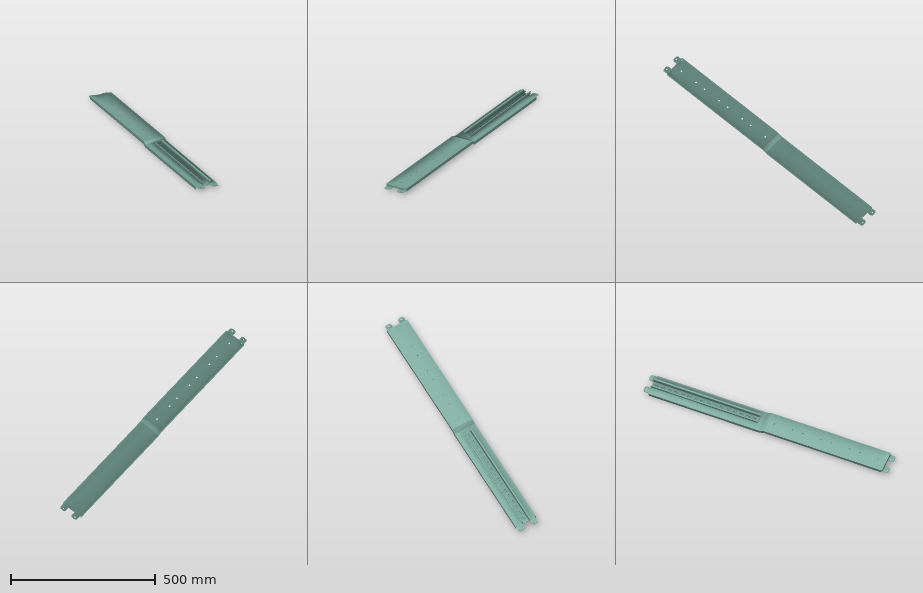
import cadquery as cq

LENGTH = 916.0
WIDTH = 81.5
HEIGHT = 26.0

SHEET = 1.5
CHANNEL_LENGTH = 870.0
JOGGLE_START = 5.5
JOGGLE_END = 21.0
RISE = 7.5
END_WALL_PROUD = 2.0

TAB_WIDTH = 24.0
TAB_OFFSET = 26.0
TAB_CHAMFER = 5.0
TAB_HOLE_DIAMETER = 5.0
TAB_HOLE_INSET = 7.0

PLATE_HOLE_DIAMETER = 6.0
FIRST_HOLE_X = -405.0
HOLE_PAIR_PITCH = 106.0
HOLE_PAIR_GAP = 67.0
HOLE_PAIR_COUNT = 4
CORNER_HOLE_DIAMETER = 3.0
CORNER_HOLE_X = -431.0
CORNER_HOLE_Y = -33.0

RAIL_START = 39.0
RAIL_LENGTH = 398.5
RAIL_PROUD = 7.5
RAIL_WIDTH = 35.0
LIP_OVERHANG = 3.9
RAIL_SHEET = 1.5
RAIL_BEND_RADIUS = 1.65
SLOT_LENGTH = 16.0
SLOT_WIDTH = 6.0
SLOT_ROW_LENGTH = 366.0
SLOT_COUNT = 16

RAIL_HEIGHT = RISE + RAIL_PROUD
FLANGE_DEPTH = HEIGHT - RAIL_HEIGHT
CHANNEL_END = CHANNEL_LENGTH / 2
END_WALL_X = -CHANNEL_END - END_WALL_PROUD
END_WALL_WIDTH = 2 * TAB_OFFSET + TAB_WIDTH


def joggled_strip(top, bottom, width):
    """Strip that follows the joggle; top and bottom are measured from the plate's top face."""
    return (
        cq.Workplane("XZ")
        .moveTo(-CHANNEL_END, RISE + top)
        .lineTo(JOGGLE_START, RISE + top)
        .lineTo(JOGGLE_END, top)
        .lineTo(CHANNEL_END, top)
        .lineTo(CHANNEL_END, bottom)
        .lineTo(JOGGLE_END, bottom)
        .lineTo(JOGGLE_START, RISE + bottom)
        .lineTo(-CHANNEL_END, RISE + bottom)
        .close()
        .extrude(width / 2, both=True)
    )


def make_channel():
    """Joggled plate with a flange down each side."""
    outside = joggled_strip(0, -FLANGE_DEPTH, WIDTH)
    inside = joggled_strip(-SHEET, -FLANGE_DEPTH, WIDTH - 2 * SHEET)
    return outside.cut(inside)


def make_end_wall():
    """Raised plate carried past the flanges and folded down to the top of the tabs."""
    return (
        cq.Workplane("XZ")
        .moveTo(-CHANNEL_END, RISE)
        .lineTo(END_WALL_X, RISE)
        .lineTo(END_WALL_X, 0)
        .lineTo(END_WALL_X + SHEET, 0)
        .lineTo(END_WALL_X + SHEET, RISE - SHEET)
        .lineTo(-CHANNEL_END, RISE - SHEET)
        .close()
        .extrude(END_WALL_WIDTH / 2, both=True)
    )


def make_tab(root_x, direction, center_y):
    """Tab from root_x to the end of the bracket; direction is +1 or -1 along X."""
    tip_x = direction * LENGTH / 2
    hole_x = tip_x - direction * TAB_HOLE_INSET
    tip_corners = "|Z and >X" if direction > 0 else "|Z and <X"
    tab = (
        cq.Workplane("XY", origin=((root_x + tip_x) / 2, center_y, -SHEET))
        .rect(abs(tip_x - root_x), TAB_WIDTH)
        .extrude(SHEET)
        .edges(tip_corners)
        .chamfer(TAB_CHAMFER)
    )
    hole = (
        cq.Workplane("XY", origin=(hole_x, center_y, -SHEET))
        .circle(TAB_HOLE_DIAMETER / 2)
        .extrude(SHEET)
    )
    return tab.cut(hole)


def make_plate_holes():
    row_centers = [
        (FIRST_HOLE_X + pair * HOLE_PAIR_PITCH + step, 0)
        for pair in range(HOLE_PAIR_COUNT)
        for step in (0, HOLE_PAIR_GAP)
    ]
    underside = cq.Workplane("XY", origin=(0, 0, RISE - SHEET))
    row = underside.pushPoints(row_centers).circle(PLATE_HOLE_DIAMETER / 2).extrude(SHEET)
    corner = (
        underside.pushPoints([(CORNER_HOLE_X, CORNER_HOLE_Y)])
        .circle(CORNER_HOLE_DIAMETER / 2)
        .extrude(SHEET)
    )
    return row.union(corner)


def make_bracket():
    body = make_channel().union(make_end_wall())
    for center_y in (-TAB_OFFSET, TAB_OFFSET):
        body = body.union(make_tab(END_WALL_X + SHEET, -1, center_y))
        body = body.union(make_tab(CHANNEL_END - SHEET, 1, center_y))
    return body.cut(make_plate_holes())


def hat_half(side):
    """Half of the hat section, from the middle of the floor to one lip; side is +1 or -1."""
    lip_tip = RAIL_WIDTH / 2
    wall_outside = lip_tip - LIP_OVERHANG
    wall_inside = wall_outside - RAIL_SHEET
    lip_underside = RAIL_HEIGHT - RAIL_SHEET
    small = RAIL_BEND_RADIUS
    large = RAIL_BEND_RADIUS + RAIL_SHEET

    def at(y, z):
        return (side * y, z)

    def bend(sketch, corner_y, corner_z, start, end, radius):
        """Quarter bend round a corner of the section, from the start to the end direction."""
        pull = radius * (1 - 0.5 ** 0.5)
        first = at(corner_y + start[0] * radius, corner_z + start[1] * radius)
        middle = at(corner_y + (start[0] + end[0]) * pull, corner_z + (start[1] + end[1]) * pull)
        last = at(corner_y + end[0] * radius, corner_z + end[1] * radius)
        return sketch.lineTo(*first).threePointArc(middle, last)

    outward, inward, up, down = (1, 0), (-1, 0), (0, 1), (0, -1)
    sketch = cq.Workplane("YZ", origin=(RAIL_START, 0, 0)).moveTo(0, 0)
    sketch = bend(sketch, wall_outside, 0, inward, up, large)
    sketch = bend(sketch, wall_outside, lip_underside, down, outward, small)
    sketch = sketch.lineTo(*at(lip_tip, lip_underside))
    sketch = sketch.lineTo(*at(lip_tip, RAIL_HEIGHT))
    sketch = bend(sketch, wall_inside, RAIL_HEIGHT, outward, down, large)
    sketch = bend(sketch, wall_inside, RAIL_SHEET, up, inward, small)
    return sketch.lineTo(0, RAIL_SHEET).close().extrude(RAIL_LENGTH)


def make_rail():
    slots = (
        cq.Workplane("XY", origin=(RAIL_START + RAIL_LENGTH / 2, 0, 0))
        .rarray(SLOT_ROW_LENGTH / (SLOT_COUNT - 1), 9, SLOT_COUNT, 1)
        .slot2D(SLOT_LENGTH, SLOT_WIDTH)
        .extrude(RAIL_SHEET)
    )
    return hat_half(1).union(hat_half(-1)).clean().cut(slots)


bracket = make_bracket()
rail = make_rail()
result = cq.Compound.makeCompound([bracket.val(), rail.val()])